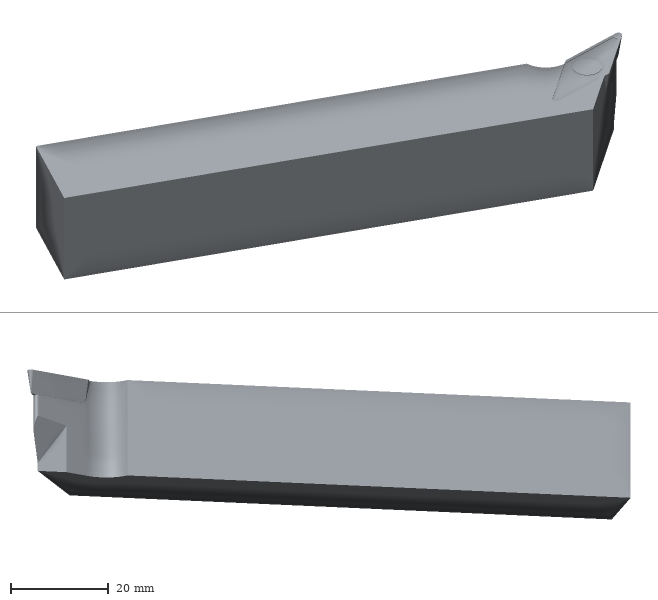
import cadquery as cq
import math

shank_side = 20.0
tool_length = 126.5
overhang = 5.6

inscribed_radius = 4.8
tip_angle = 35.0
tip_radius = 0.8
insert_thickness = 4.8
clearance_angle = 8.5
land_width = 0.6
face_recess = 0.1

screw_head_diameter = 6.0
screw_shank_diameter = 4.4
screw_head_height = 2.4

head_inset = 0.8
head_tip_radius = 0.6
gullet_radius = 6.0
gullet_top = 112.7
gullet_bottom = 104.7
relief_x = -0.5
relief_top_z = 9.7
relief_slope_x = -2.9
relief_slope_y = -1.35
relief_block = 75.9

half_angle = math.radians(tip_angle / 2)
edge_angle = math.radians(45 - tip_angle / 2)
back_slope = math.tan(edge_angle)
seat_z = shank_side - insert_thickness

tip_reach = (inscribed_radius - tip_radius) / math.sin(half_angle) * math.sqrt(0.5) + tip_radius
center_x = tip_reach - overhang
center_y = tool_length - tip_reach


def diagonal_point(distance):
    """Point on the long diagonal, at a distance from the insert center toward the tip."""
    step = distance * math.sqrt(0.5)
    return center_x - step, center_y + step


def rhombus(inradius, shift, base_z, height, taper=0.0):
    """Prism on a rhombus with rounded acute tips, shifted along the long diagonal."""
    half_length = inradius / math.sin(half_angle)
    half_width = inradius / math.cos(half_angle)
    outline = [(half_length, 0), (0, half_width), (-half_length, 0), (0, -half_width)]
    x, y = diagonal_point(shift)
    prism = cq.Workplane("XY").polyline(outline).close().extrude(height)
    prism = prism.edges("|Z").edges("<X or >X").fillet(tip_radius)
    if taper:
        prism = prism.faces("<Z").wires().toPending().extrude(height, taper=taper, combine=False)
    return prism.rotate((0, 0, 0), (0, 0, 1), 135).translate((x, y, base_z))


def tapered_insert():
    """Insert blank, full size at the top and narrowing downward."""
    blank = rhombus(inscribed_radius, 0, shank_side, insert_thickness, clearance_angle)
    return blank.mirror("XY", (0, 0, shank_side))


def screw():
    """Headed screw from the seat up to the top face."""
    center = (center_x, center_y)
    body = cq.Workplane("XY", origin=(*center, seat_z)).circle(screw_shank_diameter / 2)
    body = body.extrude(insert_thickness)
    head = cq.Workplane("XY", origin=(*center, shank_side - screw_head_height))
    return body.union(head.circle(screw_head_diameter / 2).extrude(screw_head_height))


def make_insert():
    shrink = land_width / 2
    shift = -shrink / math.sin(half_angle)
    recess = rhombus(inscribed_radius - shrink, shift, shank_side - face_recess, face_recess)
    return tapered_insert().cut(recess).cut(screw())


def holder_blank():
    """Shank and head as one upright prism."""
    head_tip = diagonal_point((inscribed_radius - head_inset) / math.sin(half_angle))
    back_right_y = head_tip[1] - (shank_side - head_tip[0]) * back_slope
    gullet_start_x = head_tip[0] + (head_tip[1] - gullet_top) * back_slope
    blank = (
        cq.Workplane("XY")
        .moveTo(0, 0)
        .lineTo(shank_side, 0)
        .lineTo(shank_side, back_right_y)
        .lineTo(*head_tip)
        .lineTo(gullet_start_x, gullet_top)
        .radiusArc((0, gullet_bottom), gullet_radius)
        .close()
        .extrude(shank_side)
    )
    return blank.edges("|Z").edges("<X").fillet(head_tip_radius)


def head_relief():
    """Cutter left of the upright relief face and below the sloping one."""
    head_tip = diagonal_point((inscribed_radius - head_inset) / math.sin(half_angle))
    corner_y = head_tip[1] - (relief_x - head_tip[0]) / back_slope
    slope = cq.Plane(
        origin=(relief_x, corner_y, relief_top_z),
        normal=(-relief_slope_x, -relief_slope_y, 1),
    )
    below = cq.Workplane(slope).rect(relief_block, relief_block).extrude(-relief_block)
    left = cq.Workplane("XY").box(relief_block, relief_block, relief_block)
    left = left.translate((relief_x - relief_block / 2, corner_y, 0))
    return below.intersect(left)


def make_holder():
    return holder_blank().cut(head_relief()).cut(tapered_insert()).union(screw())


holder = make_holder()
insert = make_insert()
result = cq.Compound.makeCompound([holder.val(), insert.val()])